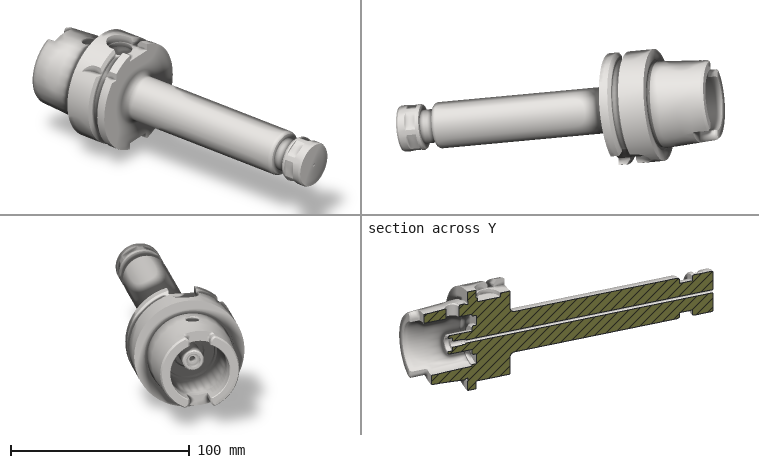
import cadquery as cq
import math

TOTAL_LENGTH = 182.0

SHANK_LENGTH = 32.0
SHANK_TIP_RADIUS = 22.5
SHANK_ROOT_RADIUS = 24.4
TIP_CHAMFER_LENGTH = 1.5
TIP_CHAMFER_HEIGHT = 0.7
RELIEF_WIDTH = 1.6
RELIEF_RADIUS = 23.7
FACE_RECESS_RADIUS = 25.5
FACE_RECESS_DEPTH = 0.4

FLANGE_RADIUS = 31.5
FLANGE_END = 58.0
GRIP_START = 46.8
GRIP_END = 53.1
GRIP_FLOOR_START = 47.9
GRIP_FLOOR_END = 51.5
GRIP_SLOPE_RADIUS = 29.3
GRIP_FLOOR_RADIUS = 27.5

ARBOR_RADIUS = 26.0 / 2
ARBOR_END = 161.6
ARBOR_END_ROUND_LENGTH = 2.2
ARBOR_END_ROUND_DROP = 1.1
ARBOR_ROOT_FILLET = 3.0
NECK_RADIUS = 19.0 / 2
NUT_START = 169.0
NUT_RADIUS = ARBOR_RADIUS
NUT_CHAMFER_LENGTH = 1.1
NUT_CHAMFER_HEIGHT = 0.5

FLAT_COUNT = 6
FLAT_START = 171.0
FLAT_END = 176.5
FLAT_DEPTH = 1.1
FLAT_RUNOUT = 0.7

BORE_RADIUS = 17.0
BORE_MOUTH_CHAMFER = 0.4
BORE_STRAIGHT_END = 13.1
BORE_FLOOR_X = 34.5
BORE_FLOOR_RADIUS = 16.4
SEAT_RADIUS = 15.3
SEAT_DEPTH = 2.7
CAVITY_END = BORE_FLOOR_X + SEAT_DEPTH

COLLAR_RADIUS = 18.5 / 2
COLLAR_LENGTH = 2.7
COLLAR_CHAMFER = 1.1
NIPPLE_RADIUS = 12.0 / 2
NIPPLE_TIP_X = 20.0
NIPPLE_CHAMFER = 0.7

COOLANT_STEPS = (
    (8.0, 2.7),
    (3.5, 9.1),
    (3.0, 11.0),
    (1.7, TOTAL_LENGTH - NIPPLE_TIP_X),
)

DRIVE_SLOT_HALF_WIDTH = 6.0
DRIVE_SLOT_LIP_START = 17.5
DRIVE_SLOT_LIP_RADIUS = 3.6
DRIVE_SLOT_MOUTH_CHAMFER = 1.0
DRIVE_SLOT_FLOOR_ROUND = 1.1
TOP_SLOT_DEPTH = 5.5
BOTTOM_SLOT_DEPTH = 10.0

ACCESS_HOLE_X = 23.0
ACCESS_HOLE_DIAMETER = 7.5
ACCESS_SINK_DIAMETER = 8.7
ACCESS_SINK_DEPTH = 0.7

KEYWAY_CENTER_X = 45.1
KEYWAY_RADIUS = 7.8
KEYWAY_FLOOR = 26.5
CHIP_POCKET_RADIUS = 13.6 / 2
CHIP_POCKET_DEPTH = 2.5
NOTCH_CENTER_X = 43.7
NOTCH_END_RADIUS = 8.0
NOTCH_FLOOR = 20.0
NOTCH_WALL = 20.2

CLEARANCE = 9.1


def body():
    """Revolve the outer profile of shank, flange, arbor and nut."""
    relief_start = SHANK_LENGTH - RELIEF_WIDTH
    recess_x = SHANK_LENGTH + FACE_RECESS_DEPTH
    fillet_x = FLANGE_END + ARBOR_ROOT_FILLET
    fillet_r = ARBOR_RADIUS + ARBOR_ROOT_FILLET
    diagonal = math.sqrt(0.5)
    nut_edge = NUT_RADIUS - NUT_CHAMFER_HEIGHT
    profile = (
        cq.Workplane("XY")
        .moveTo(0, 0)
        .lineTo(0, SHANK_TIP_RADIUS - TIP_CHAMFER_HEIGHT)
        .lineTo(TIP_CHAMFER_LENGTH, SHANK_TIP_RADIUS)
        .lineTo(relief_start, SHANK_ROOT_RADIUS)
        .lineTo(relief_start + RELIEF_WIDTH / 2, RELIEF_RADIUS)
        .lineTo(recess_x, RELIEF_RADIUS)
        .lineTo(recess_x, FACE_RECESS_RADIUS)
        .lineTo(SHANK_LENGTH, FACE_RECESS_RADIUS)
        .lineTo(SHANK_LENGTH, FLANGE_RADIUS)
        .lineTo(GRIP_START, FLANGE_RADIUS)
        .lineTo(GRIP_FLOOR_START, GRIP_SLOPE_RADIUS)
        .lineTo(GRIP_FLOOR_START, GRIP_FLOOR_RADIUS)
        .lineTo(GRIP_FLOOR_END, GRIP_FLOOR_RADIUS)
        .lineTo(GRIP_FLOOR_END, GRIP_SLOPE_RADIUS)
        .lineTo(GRIP_END, FLANGE_RADIUS)
        .lineTo(FLANGE_END, FLANGE_RADIUS)
        .lineTo(FLANGE_END, fillet_r)
        .threePointArc(
            (fillet_x - ARBOR_ROOT_FILLET * diagonal, fillet_r - ARBOR_ROOT_FILLET * diagonal),
            (fillet_x, ARBOR_RADIUS),
        )
        .lineTo(ARBOR_END - ARBOR_END_ROUND_LENGTH, ARBOR_RADIUS)
        .tangentArcPoint((ARBOR_END, ARBOR_RADIUS - ARBOR_END_ROUND_DROP), relative=False)
        .lineTo(ARBOR_END, NECK_RADIUS)
        .lineTo(NUT_START, NECK_RADIUS)
        .lineTo(NUT_START, nut_edge)
        .lineTo(NUT_START + NUT_CHAMFER_LENGTH, NUT_RADIUS)
        .lineTo(TOTAL_LENGTH - NUT_CHAMFER_LENGTH, NUT_RADIUS)
        .lineTo(TOTAL_LENGTH, nut_edge)
        .lineTo(TOTAL_LENGTH, 0)
        .close()
    )
    return profile.revolve(360, (0, 0, 0), (1, 0, 0))


def shank_cavity():
    """Hollow of the shank, leaving the stepped coolant nipple on its floor."""
    collar_x = CAVITY_END - COLLAR_LENGTH
    profile = (
        cq.Workplane("XY")
        .moveTo(0, 0)
        .lineTo(0, BORE_RADIUS + BORE_MOUTH_CHAMFER)
        .lineTo(BORE_MOUTH_CHAMFER, BORE_RADIUS)
        .lineTo(BORE_STRAIGHT_END, BORE_RADIUS)
        .lineTo(BORE_FLOOR_X, BORE_FLOOR_RADIUS)
        .lineTo(BORE_FLOOR_X, SEAT_RADIUS)
        .lineTo(CAVITY_END, SEAT_RADIUS)
        .lineTo(CAVITY_END, COLLAR_RADIUS)
        .lineTo(collar_x + COLLAR_CHAMFER, COLLAR_RADIUS)
        .lineTo(collar_x, COLLAR_RADIUS - COLLAR_CHAMFER)
        .lineTo(collar_x, NIPPLE_RADIUS)
        .lineTo(NIPPLE_TIP_X + NIPPLE_CHAMFER, NIPPLE_RADIUS)
        .lineTo(NIPPLE_TIP_X, NIPPLE_RADIUS - NIPPLE_CHAMFER)
        .lineTo(NIPPLE_TIP_X, 0)
        .close()
    )
    return profile.revolve(360, (0, 0, 0), (1, 0, 0))


def coolant_hole(diameter, depth):
    """Hole along the axis from the nipple tip."""
    return cq.Workplane("YZ", origin=(NIPPLE_TIP_X, 0, 0)).circle(diameter / 2).extrude(depth)


def drive_slot_outline(growth):
    """Drive slot section on the end face, with its walls moved out by the given growth."""
    wall = DRIVE_SLOT_HALF_WIDTH + growth
    lip = DRIVE_SLOT_LIP_RADIUS - growth
    lip_y = wall + lip
    lip_z = DRIVE_SLOT_LIP_START + lip
    diagonal = math.sqrt(0.5)
    bend_y = lip_y - lip * diagonal
    bend_z = DRIVE_SLOT_LIP_START + lip * diagonal
    return (
        cq.Workplane("YZ")
        .moveTo(-wall, 0)
        .lineTo(wall, 0)
        .lineTo(wall, DRIVE_SLOT_LIP_START)
        .threePointArc((bend_y, bend_z), (lip_y, lip_z))
        .lineTo(lip_y, FLANGE_RADIUS)
        .lineTo(-lip_y, FLANGE_RADIUS)
        .lineTo(-lip_y, lip_z)
        .threePointArc((-bend_y, bend_z), (-wall, DRIVE_SLOT_LIP_START))
        .close()
    )


def drive_slot(depth):
    """Drive slot through the upper shank wall, with rounded lips and a chamfered mouth."""
    slot = drive_slot_outline(0).extrude(depth)
    straight_walls = cq.selectors.BoxSelector(
        (0, -FLANGE_RADIUS, 0), (2 * depth, FLANGE_RADIUS, DRIVE_SLOT_LIP_START)
    )
    slot = slot.faces(">X").edges("|Z").edges(straight_walls).fillet(DRIVE_SLOT_FLOOR_ROUND)
    mouth = drive_slot_outline(DRIVE_SLOT_MOUTH_CHAMFER).extrude(DRIVE_SLOT_MOUTH_CHAMFER, taper=45)
    return slot.union(mouth)


def access_hole():
    """Countersunk radial hole from the top of the shank into the bore."""
    slope = (SHANK_ROOT_RADIUS - SHANK_TIP_RADIUS) / SHANK_LENGTH
    surface = SHANK_TIP_RADIUS + slope * ACCESS_HOLE_X
    hole_radius = ACCESS_HOLE_DIAMETER / 2
    sink_radius = ACCESS_SINK_DIAMETER / 2
    profile = (
        cq.Workplane("XZ")
        .moveTo(0, NIPPLE_RADIUS + CLEARANCE)
        .lineTo(hole_radius, NIPPLE_RADIUS + CLEARANCE)
        .lineTo(hole_radius, surface - ACCESS_SINK_DEPTH)
        .lineTo(sink_radius, surface)
        .lineTo(sink_radius, surface + CLEARANCE)
        .lineTo(0, surface + CLEARANCE)
        .close()
    )
    return profile.revolve(360, (0, 0, 0), (0, 1, 0)).translate((ACCESS_HOLE_X, 0, 0))


def round_ended_slot(x, y, radius, floor):
    """Slot open at the arbor side of the flange; x, y is the center of its round end."""
    length = FLANGE_END - x
    height = FLANGE_RADIUS + CLEARANCE - floor
    plane = cq.Workplane("XY", origin=(x, y, floor))
    end = plane.circle(radius).extrude(height)
    run = plane.center(length / 2, 0).rect(length, 2 * radius).extrude(height)
    return end.union(run)


def chip_pocket():
    """Round pocket sunk into the floor of the top keyway."""
    return (
        cq.Workplane("XY", origin=(KEYWAY_CENTER_X, 0, KEYWAY_FLOOR - CHIP_POCKET_DEPTH))
        .circle(CHIP_POCKET_RADIUS)
        .extrude(CHIP_POCKET_DEPTH + CLEARANCE)
    )


def wrench_flat(index):
    """One flat on the nut, with a sloped wall toward the free end."""
    floor = NUT_RADIUS - FLAT_DEPTH
    flat = (
        cq.Workplane("XZ")
        .moveTo(FLAT_START, floor)
        .lineTo(FLAT_END, floor)
        .lineTo(FLAT_END + FLAT_RUNOUT, NUT_RADIUS)
        .lineTo(FLAT_START, NUT_RADIUS)
        .close()
        .extrude(NUT_RADIUS, both=True)
    )
    angle = 90 + index * 360 / FLAT_COUNT
    return flat.rotate((0, 0, 0), (1, 0, 0), angle)


result = body().cut(shank_cavity())
for step_diameter, step_depth in COOLANT_STEPS:
    result = result.cut(coolant_hole(step_diameter, step_depth))

result = result.cut(drive_slot(TOP_SLOT_DEPTH))
result = result.cut(drive_slot(BOTTOM_SLOT_DEPTH).mirror("XY"))
result = result.cut(access_hole())

keyway = round_ended_slot(KEYWAY_CENTER_X, 0, KEYWAY_RADIUS, KEYWAY_FLOOR)
result = result.cut(keyway).cut(keyway.mirror("XY"))
result = result.cut(chip_pocket())

notch_center_y = -NOTCH_WALL - NOTCH_END_RADIUS
result = result.cut(round_ended_slot(NOTCH_CENTER_X, notch_center_y, NOTCH_END_RADIUS, NOTCH_FLOOR))

for flat_index in range(FLAT_COUNT):
    result = result.cut(wrench_flat(flat_index))